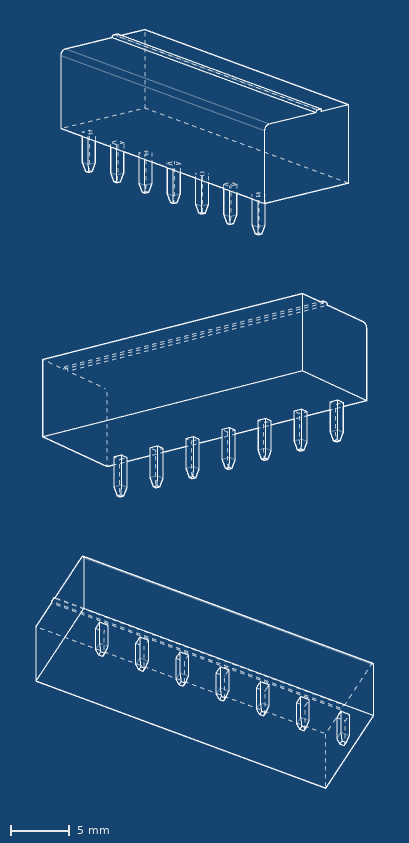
import cadquery as cq

pin_count = 7
pin_pitch = 3.81
end_margin = 2.3
housing_length = (pin_count - 1) * pin_pitch + 2 * end_margin
housing_depth = 9.2
housing_height = 7.0
front_edge_radius = 0.5

ridge_height = 0.2
ridge_width = 0.6
ridge_setback = 3.0
ridge_edge_radius = ridge_height

pin_width = 0.8
pin_length = 3.5
pin_tip_length = 0.8
pin_tip_width = 0.4
pin_setback = 1.2


def make_housing():
    """Block with the front top edge rounded."""
    block = cq.Workplane("XY").box(
        housing_length, housing_depth, housing_height, centered=(True, False, False)
    )
    return block.faces("<Y").edges(">Z").fillet(front_edge_radius)


def make_ridge():
    """Low rib along the full length; its front side is a quarter round."""
    rear_y = housing_depth - ridge_setback
    front_y = rear_y - ridge_width
    top_z = housing_height + ridge_height
    return (
        cq.Workplane("YZ", origin=(-housing_length / 2, 0, 0))
        .moveTo(front_y, housing_height)
        .radiusArc((front_y + ridge_edge_radius, top_z), ridge_edge_radius)
        .lineTo(rear_y, top_z)
        .lineTo(rear_y, housing_height)
        .close()
        .extrude(housing_length)
    )


def make_pin(x):
    """Square pin hanging from the underside, ending in a tapered tip."""
    shank_length = pin_length - pin_tip_length
    shank = (
        cq.Workplane("XY", origin=(x, pin_setback, 0))
        .rect(pin_width, pin_width)
        .extrude(-shank_length)
    )
    tip = (
        cq.Workplane("XY", origin=(x, pin_setback, -shank_length))
        .rect(pin_width, pin_width)
        .workplane(offset=-pin_tip_length)
        .rect(pin_tip_width, pin_tip_width)
        .loft(ruled=True)
    )
    return shank.union(tip)


result = make_housing().union(make_ridge())

first_pin_x = end_margin - housing_length / 2
for index in range(pin_count):
    result = result.union(make_pin(first_pin_x + index * pin_pitch))